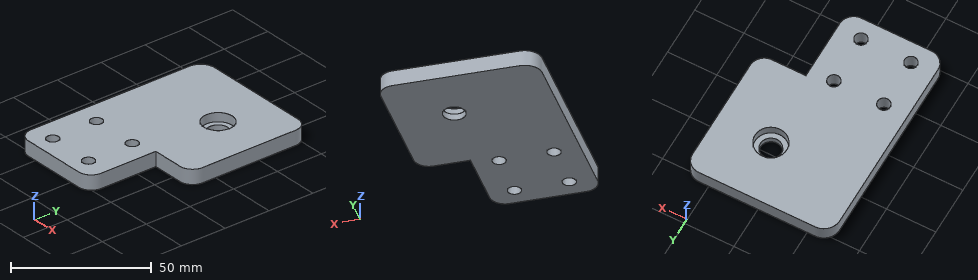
import cadquery as cq

width = 59.5
length = 84.6
thickness = 6.35
tongue_width = 40.0
tongue_length = 30.6
corner_radius = 5.75
back_left_radius = 6.5

bore_x = 37.3
bore_y = 61.25
bore_diameter = 8.5
counterbore_diameter = 12.9
counterbore_depth = 3.8

mount_diameter = 5.1
mount_x = 9.9
mount_y = 7.8
mount_pitch_x = 20.3
mount_pitch_y = 20.0


def make_plate():
    """L-shaped plate with rounded outer corners and a sharp inner corner."""
    outline = [
        (0, 0),
        (tongue_width, 0),
        (tongue_width, tongue_length),
        (width, tongue_length),
        (width, length),
        (0, length),
    ]
    plate = cq.Workplane("XY").polyline(outline).close().extrude(thickness)

    rounded_corners = [
        (0, 0, corner_radius),
        (tongue_width, 0, corner_radius),
        (width, tongue_length, corner_radius),
        (width, length, corner_radius),
        (0, length, back_left_radius),
    ]
    for x, y, radius in rounded_corners:
        corner = cq.selectors.NearestToPointSelector((x, y, thickness / 2))
        plate = plate.edges("|Z").edges(corner).fillet(radius)
    return plate


def top_plane(part):
    return part.faces(">Z").workplane(origin=(0, 0, thickness))


def add_counterbored_hole(part):
    centre = top_plane(part).pushPoints([(bore_x, bore_y)])
    return centre.cboreHole(bore_diameter, counterbore_diameter, counterbore_depth)


def add_mounting_holes(part):
    centres = [
        (mount_x + column * mount_pitch_x, mount_y + row * mount_pitch_y)
        for column in range(2)
        for row in range(2)
    ]
    return top_plane(part).pushPoints(centres).hole(mount_diameter)


result = add_mounting_holes(add_counterbored_hole(make_plate()))